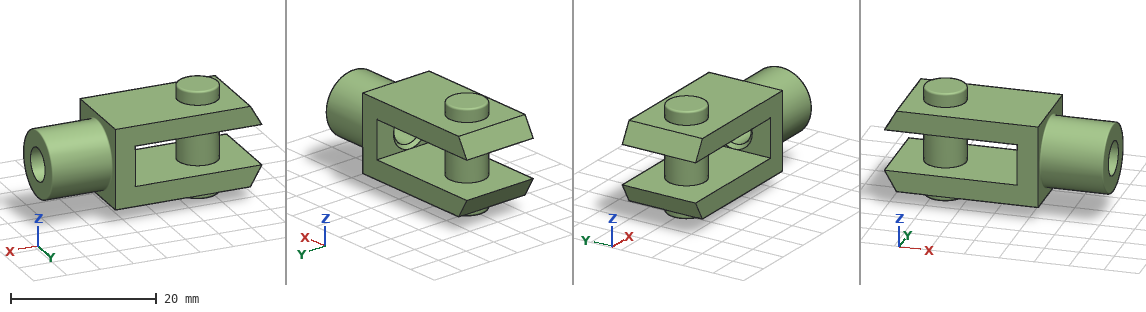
import cadquery as cq
import math

fork_length = 22.0
fork_width = 12.0
arm_thickness = 3.0
slot_depth = 19.0
slot_height = fork_width - 2 * arm_thickness
tip_bevel_angle = 30.0
tip_setback = arm_thickness * math.tan(math.radians(tip_bevel_angle))

shank_diameter = 10.0
shank_length = 9.0
shank_fillet = 0.2

bore_diameter = 4.92
bore_mouth_diameter = 6.0
bore_countersink = (bore_mouth_diameter - bore_diameter) / 2

pin_diameter = 6.0
pin_length = 16.0
pin_end_fillet = 0.3
pin_to_tip = 7.0

tip_x = -pin_to_tip
slot_end_x = tip_x + slot_depth
fork_end_x = tip_x + fork_length
shank_end_x = fork_end_x + shank_length


def make_fork():
    """Slotted block whose arm tips are bevelled on their outer faces."""
    half_width = fork_width / 2
    half_slot = slot_height / 2
    outline = [
        (tip_x, half_slot),
        (tip_x + tip_setback, half_width),
        (fork_end_x, half_width),
        (fork_end_x, -half_width),
        (tip_x + tip_setback, -half_width),
        (tip_x, -half_slot),
        (slot_end_x, -half_slot),
        (slot_end_x, half_slot),
    ]
    return cq.Workplane("XZ").polyline(outline).close().extrude(half_width, both=True)


def make_shank():
    """Shank revolved about X, filleted at its root and rounded at its free end."""
    radius = shank_diameter / 2
    arc_mid_offset = shank_fillet * (1 - math.sqrt(0.5))
    return (
        cq.Workplane("XY")
        .moveTo(fork_end_x, 0)
        .lineTo(fork_end_x, radius + shank_fillet)
        .threePointArc(
            (fork_end_x + arc_mid_offset, radius + arc_mid_offset),
            (fork_end_x + shank_fillet, radius),
        )
        .lineTo(shank_end_x - shank_fillet, radius)
        .threePointArc(
            (shank_end_x - arc_mid_offset, radius - arc_mid_offset),
            (shank_end_x, radius - shank_fillet),
        )
        .lineTo(shank_end_x, 0)
        .close()
        .revolve(360, (0, 0, 0), (1, 0, 0))
    )


def make_bore():
    """Through bore along X, countersunk where it opens into the slot."""
    radius = bore_diameter / 2
    mouth_radius = bore_mouth_diameter / 2
    outline = [
        (slot_end_x, 0),
        (slot_end_x, mouth_radius),
        (slot_end_x + bore_countersink, radius),
        (shank_end_x, radius),
        (shank_end_x, 0),
    ]
    return cq.Workplane("XY").polyline(outline).close().revolve(360, (0, 0, 0), (1, 0, 0))


def make_pin():
    """Pin along Z with both end edges rounded."""
    return (
        cq.Workplane("XY")
        .circle(pin_diameter / 2)
        .extrude(pin_length / 2, both=True)
        .faces("|Z")
        .edges()
        .fillet(pin_end_fillet)
    )


result = make_fork().union(make_shank()).cut(make_bore()).union(make_pin())